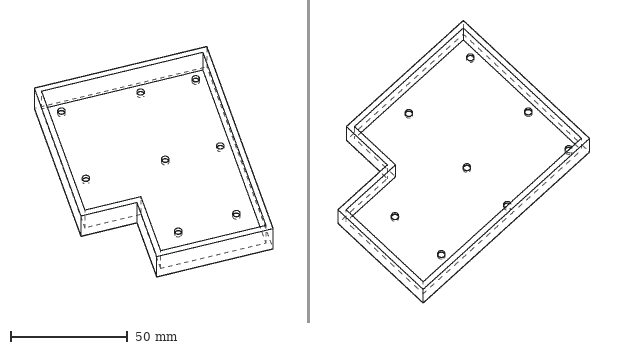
import cadquery as cq

length = 100.0
width = 77.0
height = 15.0
notch_length = 29.7
notch_width = 25.0

wall = 2.5
floor_thickness = 2.0

hole_diameter = 3.2
grid_columns_x = (6.0, 42.9)
grid_rows_y = (10.35, 45.7, 70.3)
right_hole_centers = [(79.0, 66.8), (80.8, 40.3)]


def l_prism(inset, base_z, prism_height):
    """L-shaped prism whose sides lie `inset` inside the outer outline."""
    left = inset
    right = length - inset
    front = inset
    back = width - inset
    step_x = length - notch_length - inset
    step_y = notch_width + inset
    outline = [
        (left, front),
        (step_x, front),
        (step_x, step_y),
        (right, step_y),
        (right, back),
        (left, back),
    ]
    return cq.Workplane("XY").workplane(offset=base_z).polyline(outline).close().extrude(prism_height)


def mounting_holes():
    """Cylinders that pierce the floor at every mounting position."""
    centers = [(x, y) for x in grid_columns_x for y in grid_rows_y]
    centers += right_hole_centers
    return cq.Workplane("XY").pushPoints(centers).circle(hole_diameter / 2).extrude(floor_thickness)


body = l_prism(0, 0, height)
cavity = l_prism(wall, floor_thickness, height - floor_thickness)
result = body.cut(cavity).cut(mounting_holes())